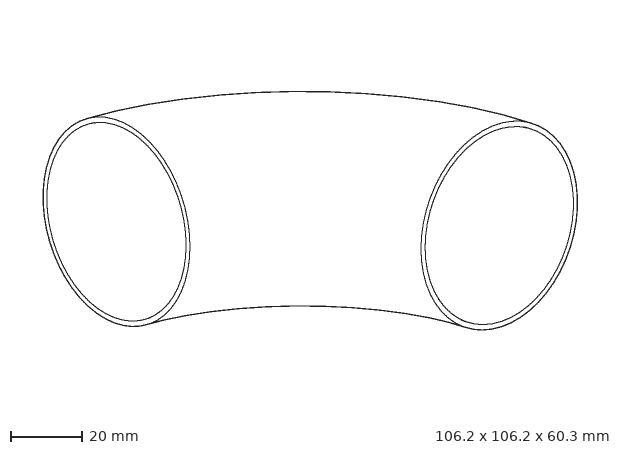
import cadquery as cq

overall_size = 106.2
outer_diameter = 60.3
wall_thickness = 1.6
bend_angle = 90.0

outer_radius = outer_diameter / 2
inner_radius = outer_radius - wall_thickness
bend_radius = overall_size - outer_radius

result = (
    cq.Workplane("XZ")
    .moveTo(-bend_radius, 0)
    .circle(outer_radius)
    .circle(inner_radius)
    .revolve(bend_angle, axisStart=(0, 0, 0), axisEnd=(0, -1, 0))
)